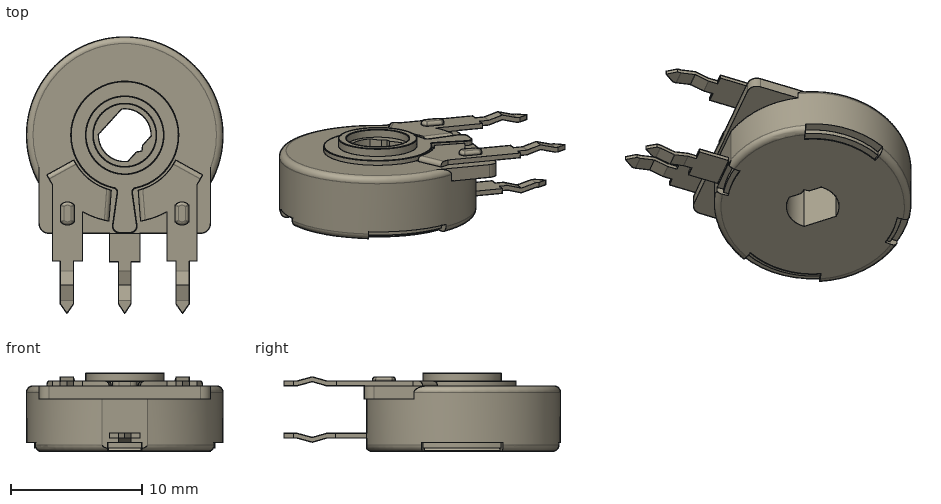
import cadquery as cq
import math

overall_length = 21.1
housing_radius = 15.0 / 2
housing_top = 5.0
edge_round = 0.5
flat_y = -7.3

shelf_half_width = 6.55
shelf_front_y = -7.5
shelf_thickness = 1.01
shelf_corner_radius = 0.75

notch_floor_radius = 6.9
notch_top = 0.68
undercut_top = 0.25
undercut_lip_height = 0.06
undercut_top_radius = 6.41
undercut_bottom_radius = 6.55
side_notch_inner_half_width = 2.98
side_notch_outer_half_width = 3.12
end_notch_inner_half_width = 1.29
end_notch_outer_half_width = 1.33

sheet = 0.38
collar_radius = 8.25 / 2
boss_radius = 6.0 / 2
boss_top = 6.0
boss_bore_radius = 4.8 / 2
edge_break = 0.05
collar_top = housing_top + sheet

tongue_neck_half_width = 0.55
tongue_end_half_width = 1.01
tongue_end_y = -7.45
tongue_corner_radius = 0.5
tongue_neck_radius = 0.32

shaft_hole_radius = 2.0
shaft_flat_distance = 1.52
shaft_flat_angle = 47.5
key_tip_distance = 1.77
key_half_width = 0.34

pad_inner_radius = 4.33
pad_outer_radius = 6.67
pad_outer_edge_inner_angle = 26.0
pad_outer_edge_outer_angle = 27.0
pad_center_edge_inner_angle = 76.3
pad_center_edge_outer_angle = 79.6
pad_edge_round = 0.35

outer_blade_x = 4.37
outer_blade_width = 2.3
outer_blade_start_y = -3.71
outer_shoulder_y = -9.6
outer_pin_x = 4.4
outer_pin_width = 1.03

center_blade_width = 2.36
center_blade_start_y = -6.33
center_shoulder_y = -9.66
center_pin_width = 0.97
center_pin_bottom = 1.01

pin_point_length = 0.74
pin_tip_y = housing_radius - overall_length
pin_taper_y = pin_tip_y + pin_point_length
kink_start_y = -10.34
kink_peak_y = -11.44
kink_end_y = -12.6
kink_height = 0.32

rivet_width = 1.03
rivet_straight_length = 1.27
rivet_end_bulge = 0.25
rivet_center_y = -5.97
rivet_height = 0.32
rivet_round = 0.25


def polar(radius, degrees):
    angle = math.radians(degrees)
    return (radius * math.cos(angle), radius * math.sin(angle))


def cylinder(radius, bottom, top):
    return cq.Workplane("XY").workplane(offset=bottom).circle(radius).extrude(top - bottom)


def block(x_min, x_max, y_min, y_max, bottom, top):
    size = (x_max - x_min, y_max - y_min, top - bottom)
    return cq.Workplane("XY").box(*size, centered=False).translate((x_min, y_min, bottom))


def rim_notch(direction, inner_half_width, outer_half_width):
    """Cutter for a lower-rim notch: a tapered slot that leaves a round, undercut inner wall."""
    inner_x = math.sqrt(notch_floor_radius ** 2 - inner_half_width ** 2)
    outer_x = math.sqrt(housing_radius ** 2 - outer_half_width ** 2)
    taper = (outer_half_width - inner_half_width) / (outer_x - inner_x)
    back_x = math.sqrt(undercut_top_radius ** 2 - inner_half_width ** 2)
    back_half_width = inner_half_width - taper * (inner_x - back_x)
    front_half_width = outer_half_width + taper * (housing_radius - outer_x)
    plan = [
        (back_x, -back_half_width), (housing_radius, -front_half_width),
        (housing_radius, front_half_width), (back_x, back_half_width),
    ]
    core_profile = [
        (0, 0),
        (undercut_bottom_radius, 0),
        (undercut_bottom_radius, undercut_lip_height),
        (undercut_top_radius, undercut_top),
        (notch_floor_radius, undercut_top),
        (notch_floor_radius, notch_top),
        (0, notch_top),
    ]
    slot = cq.Workplane("XY").polyline(plan).close().extrude(notch_top)
    core = cq.Workplane("XZ").polyline(core_profile).close().revolve(360, (0, 0), (0, 1))
    return slot.cut(core).rotate((0, 0, 0), (0, 0, 1), direction)


def make_housing():
    drum = cylinder(housing_radius, 0, housing_top).faces("<Z or >Z").edges().fillet(edge_round)
    drum = drum.cut(block(-housing_radius, housing_radius, -2 * housing_radius, flat_y, 0, housing_top))

    shelf_back_y = -math.sqrt((housing_radius - edge_round) ** 2 - shelf_half_width ** 2)
    shelf = block(
        -shelf_half_width, shelf_half_width, shelf_front_y, shelf_back_y,
        housing_top - shelf_thickness, housing_top,
    )
    shelf = shelf.edges("|Z and <Y").fillet(shelf_corner_radius)
    housing = drum.union(shelf)

    for direction in (0, 180):
        notch = rim_notch(direction, side_notch_inner_half_width, side_notch_outer_half_width)
        housing = housing.cut(notch)
    for direction in (90, 270):
        notch = rim_notch(direction, end_notch_inner_half_width, end_notch_outer_half_width)
        housing = housing.cut(notch)
    return housing


def make_collar():
    """Flat ring around the rotor with a tongue that widens towards the terminals."""
    ring = cylinder(collar_radius, housing_top, collar_top)
    neck_y = -math.sqrt(collar_radius ** 2 - tongue_neck_half_width ** 2)
    tongue_outline = [
        (-tongue_neck_half_width, 0),
        (-tongue_neck_half_width, neck_y),
        (-tongue_end_half_width, tongue_end_y),
        (tongue_end_half_width, tongue_end_y),
        (tongue_neck_half_width, neck_y),
        (tongue_neck_half_width, 0),
    ]
    tongue = cq.Workplane("XY").workplane(offset=housing_top).polyline(tongue_outline).close().extrude(sheet)
    tongue = tongue.edges("|Z and <Y").fillet(tongue_corner_radius)
    collar = ring.union(tongue)
    for side in (-1, 1):
        neck = (side * tongue_neck_half_width, neck_y, housing_top + sheet / 2)
        collar = collar.edges(cq.selectors.NearestToPointSelector(neck)).fillet(tongue_neck_radius)
    return collar.faces(">Z").edges().chamfer(edge_break)


def make_boss():
    boss = cylinder(boss_radius, housing_top, boss_top)
    boss = boss.cut(cylinder(boss_bore_radius, collar_top, boss_top))
    return boss.faces(">Z").edges().chamfer(edge_break)


def make_shaft_hole():
    """Round hole with two opposite flats and a V-shaped key notch in one flat."""
    slab = block(
        -shaft_hole_radius, shaft_hole_radius, -shaft_flat_distance, shaft_flat_distance, 0, boss_top
    )
    hole = cylinder(shaft_hole_radius, 0, boss_top).intersect(slab)
    key_outline = [
        (-key_half_width, -shaft_flat_distance), (0, -key_tip_distance),
        (key_half_width, -shaft_flat_distance), (0, 0),
    ]
    key = cq.Workplane("XY").polyline(key_outline).close().extrude(boss_top)
    return hole.union(key).rotate((0, 0, 0), (0, 0, 1), shaft_flat_angle)


def make_blade(blade_x, blade_width, start_y, shoulder_y, pin_x, pin_width, bottom, kink):
    """Sheet-metal blade that narrows to a kinked, pointed pin; kink is signed along Z."""
    blade_left = blade_x - blade_width / 2
    blade_right = blade_x + blade_width / 2
    pin_left = pin_x - pin_width / 2
    pin_right = pin_x + pin_width / 2
    plan = [
        (blade_left, start_y), (blade_left, shoulder_y),
        (pin_left, shoulder_y), (pin_left, pin_taper_y),
        (pin_x, pin_tip_y),
        (pin_right, pin_taper_y), (pin_right, shoulder_y),
        (blade_right, shoulder_y), (blade_right, start_y),
    ]
    lowest = bottom - kink_height
    outline = cq.Workplane("XY").workplane(offset=lowest).polyline(plan).close()
    outline = outline.extrude(sheet + 2 * kink_height)

    path = [
        (start_y, bottom), (kink_start_y, bottom), (kink_peak_y, bottom + kink),
        (kink_end_y, bottom), (pin_tip_y, bottom),
    ]
    upper_path = [(y, z + sheet) for y, z in reversed(path)]
    ribbon = cq.Workplane("YZ").polyline(path + upper_path).close()
    ribbon = ribbon.extrude(housing_radius, both=True)
    return outline.intersect(ribbon)


def make_pad():
    """Fan-shaped pad on the +X side; its two end edges are rounded over."""
    outer_start = polar(pad_outer_radius, -pad_outer_edge_outer_angle)
    outer_end = polar(pad_outer_radius, -pad_center_edge_outer_angle)
    inner_start = polar(pad_inner_radius, -pad_center_edge_inner_angle)
    inner_end = polar(pad_inner_radius, -pad_outer_edge_inner_angle)
    middle_angle = -(pad_outer_edge_inner_angle + pad_center_edge_inner_angle) / 2
    pad = (
        cq.Workplane("XY").workplane(offset=housing_top)
        .moveTo(*outer_start)
        .threePointArc(polar(pad_outer_radius, middle_angle), outer_end)
        .lineTo(*inner_start)
        .threePointArc(polar(pad_inner_radius, middle_angle), inner_end)
        .close()
        .extrude(sheet)
    )
    for start, end in ((outer_start, inner_end), (outer_end, inner_start)):
        edge_middle = ((start[0] + end[0]) / 2, (start[1] + end[1]) / 2, collar_top)
        pad = pad.edges(cq.selectors.NearestToPointSelector(edge_middle)).fillet(pad_edge_round)
    return pad


def make_rivet():
    """Oblong rivet head with bowed ends and a rounded top edge."""
    left = outer_blade_x - rivet_width / 2
    right = outer_blade_x + rivet_width / 2
    back = rivet_center_y + rivet_straight_length / 2
    front = rivet_center_y - rivet_straight_length / 2
    head = (
        cq.Workplane("XY").workplane(offset=collar_top)
        .moveTo(left, front)
        .lineTo(left, back)
        .threePointArc((outer_blade_x, back + rivet_end_bulge), (right, back))
        .lineTo(right, front)
        .threePointArc((outer_blade_x, front - rivet_end_bulge), (left, front))
        .close()
        .extrude(rivet_height)
    )
    return head.faces(">Z").edges().fillet(rivet_round)


def make_outer_terminal():
    blade = make_blade(
        outer_blade_x, outer_blade_width, outer_blade_start_y, outer_shoulder_y,
        outer_pin_x, outer_pin_width, housing_top, kink_height,
    )
    return make_pad().union(blade).union(make_rivet())


def make_center_terminal():
    return make_blade(
        0, center_blade_width, center_blade_start_y, center_shoulder_y,
        0, center_pin_width, center_pin_bottom, -kink_height,
    )


outer_terminal = make_outer_terminal()
result = (
    make_housing()
    .union(make_collar())
    .union(make_boss())
    .cut(make_shaft_hole())
    .union(outer_terminal)
    .union(outer_terminal.mirror("YZ"))
    .union(make_center_terminal())
)